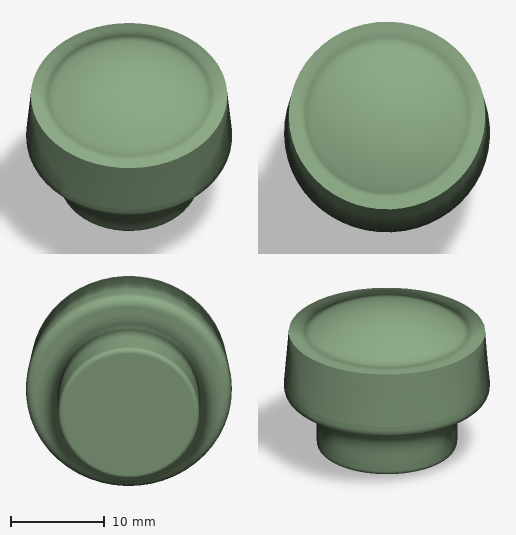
import cadquery as cq

stem_diameter = 15.0
stem_radius = stem_diameter / 2
small_round = 0.5

head_radius = 10.98
head_bottom = 6.0
head_edge_round = 1.0
head_band_height = 0.5
head_top = 13.5
head_top_radius = 10.47
taper_start = head_bottom + head_edge_round + head_band_height

dome_radius = 8.75
total_height = 16.0
dome_rise = total_height - head_top
sphere_radius = (dome_radius**2 + dome_rise**2) / (2 * dome_rise)


def dome_height(radius):
    """Height of the dome's surface at a distance from the axis."""
    sphere_centre = total_height - sphere_radius
    return sphere_centre + (sphere_radius**2 - radius**2) ** 0.5


def revolved_body():
    """Stem, head and dome turned about the Z axis, with sharp edges."""
    arc_middle = dome_radius / 2
    profile = (
        cq.Workplane("XZ")
        .lineTo(stem_radius, 0)
        .lineTo(stem_radius, head_bottom)
        .lineTo(head_radius, head_bottom)
        .lineTo(head_radius, taper_start)
        .lineTo(head_top_radius, head_top)
        .lineTo(dome_radius, head_top)
        .threePointArc((arc_middle, dome_height(arc_middle)), (0, total_height))
        .close()
    )
    return profile.revolve(360, (0, 0, 0), (0, 1, 0))


def round_edge(body, edge_radius, z, fillet_radius):
    """Fillet the circular edge of the given radius at height z."""
    margin = 0.02
    reach = edge_radius + margin
    edge = cq.selectors.BoxSelector(
        (-reach, -reach, z - margin), (reach, reach, z + margin), boundingbox=True
    )
    return body.edges(edge).fillet(fillet_radius)


result = revolved_body()
result = round_edge(result, stem_radius, 0, small_round)
result = round_edge(result, stem_radius, head_bottom, small_round)
result = round_edge(result, head_radius, head_bottom, head_edge_round)
result = round_edge(result, dome_radius, head_top, small_round)